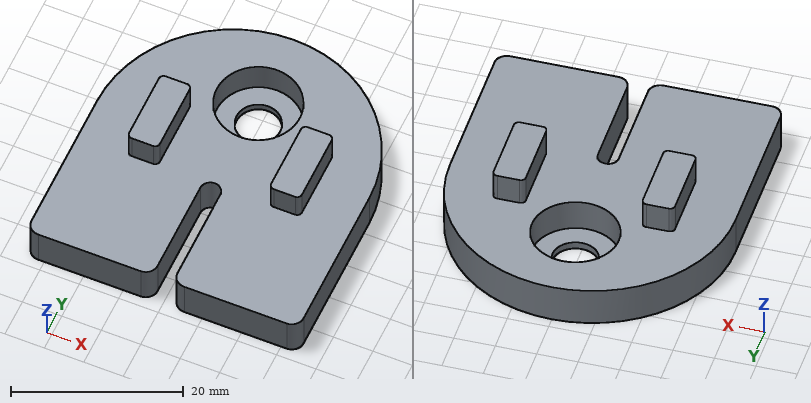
import cadquery as cq

plate_length = 37.5
plate_width = 34.5
plate_thickness = 5.0
corner_radius = 1.5
end_radius = plate_width / 2
end_center_y = plate_length - end_radius

slot_width = 2.5
slot_depth = 15.0
slot_radius = slot_width / 2

hole_y = 27.5
hole_diameter = 5.5
counterbore_diameter = 10.5
counterbore_depth = 4.0

peg_width = 3.9
peg_length = 9.7
peg_height = 3.52
peg_corner_radius = 0.6
peg_offset_x = 9.0
peg_y = 19.5


def make_plate():
    """Slotted plate resting on Z = 0, with its straight edge on Y = 0."""
    slot_straight = slot_depth - slot_radius
    outline = (
        cq.Workplane("XY")
        .moveTo(slot_radius, 0)
        .lineTo(end_radius, 0)
        .lineTo(end_radius, end_center_y)
        .threePointArc((0, plate_length), (-end_radius, end_center_y))
        .lineTo(-end_radius, 0)
        .lineTo(-slot_radius, 0)
        .lineTo(-slot_radius, slot_straight)
        .threePointArc((0, slot_depth), (slot_radius, slot_straight))
        .close()
    )
    plate = outline.extrude(plate_thickness)
    return plate.faces("<Y").edges("|Z").fillet(corner_radius)


def cut_counterbored_hole(plate):
    return (
        plate.faces(">Z")
        .workplane(origin=(0, hole_y, plate_thickness))
        .cboreHole(hole_diameter, counterbore_diameter, counterbore_depth)
    )


def make_pegs():
    return (
        cq.Workplane("XY", origin=(0, 0, plate_thickness))
        .pushPoints([(-peg_offset_x, peg_y), (peg_offset_x, peg_y)])
        .rect(peg_width, peg_length)
        .extrude(peg_height)
        .edges("|Z")
        .fillet(peg_corner_radius)
    )


result = cut_counterbored_hole(make_plate()).union(make_pegs())